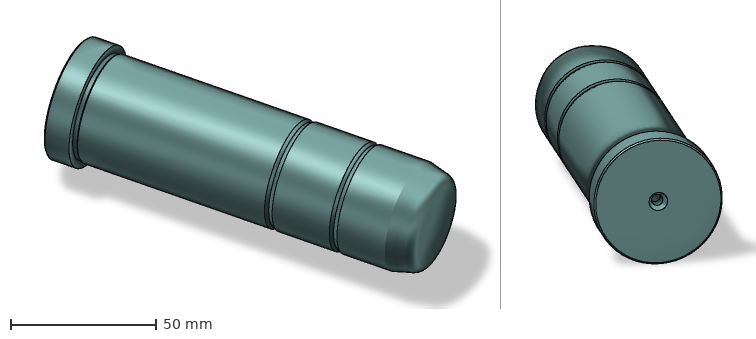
import cadquery as cq
import math

length = 140.0
head_radius = 22.47
head_length = 9.8
head_chamfer = 0.5
pin_radius = 20.0

relief_depth = 0.4
relief_end = 11.5
relief_ramp = 0.4

groove_starts = (83.7, 108.6)
groove_ramp = 1.3
groove_width = 3.0
groove_depth = 0.7
groove_sag = 0.1

taper_length = 10.0
taper_angle = 15.0
nose_radius = 3.8

countersink_radius = 3.2
countersink_angle = 60.0
centre_radius = 2.0
centre_depth = 7.0
drill_tip_angle = 120.0


def make_head():
    head = cq.Workplane("YZ").circle(head_radius).extrude(head_length)
    return head.faces("<X").edges().chamfer(head_chamfer)


def make_pin():
    """Revolve the half profile of the pin about X."""
    relief_radius = pin_radius - relief_depth
    taper_start = length - taper_length
    tip_radius = pin_radius - taper_length * math.tan(math.radians(taper_angle))

    profile = (
        cq.Workplane("XY")
        .moveTo(head_chamfer, 0)
        .lineTo(head_chamfer, relief_radius)
        .lineTo(relief_end, relief_radius)
        .lineTo(relief_end + relief_ramp, pin_radius)
    )
    for start in groove_starts:
        bottom = start + groove_ramp
        end = start + groove_width
        middle = ((bottom + end) / 2, pin_radius - groove_depth / 2 - groove_sag)
        profile = (
            profile.lineTo(start, pin_radius)
            .lineTo(bottom, pin_radius - groove_depth)
            .threePointArc(middle, (end, pin_radius))
        )
    profile = (
        profile.lineTo(taper_start, pin_radius)
        .lineTo(length, tip_radius)
        .lineTo(length, 0)
        .close()
    )
    pin = profile.revolve(360, (0, 0, 0), (1, 0, 0))
    return pin.faces(">X").edges().fillet(nose_radius)


def make_centre_hole():
    """Countersink, straight drill and conical drill tip as one solid."""
    countersink_depth = (countersink_radius - centre_radius) / math.tan(math.radians(countersink_angle / 2))
    tip_depth = centre_radius / math.tan(math.radians(drill_tip_angle / 2))
    return (
        cq.Workplane("XY")
        .lineTo(0, countersink_radius)
        .lineTo(countersink_depth, centre_radius)
        .lineTo(centre_depth, centre_radius)
        .lineTo(centre_depth + tip_depth, 0)
        .close()
        .revolve(360, (0, 0, 0), (1, 0, 0))
    )


result = make_head().union(make_pin()).cut(make_centre_hole())